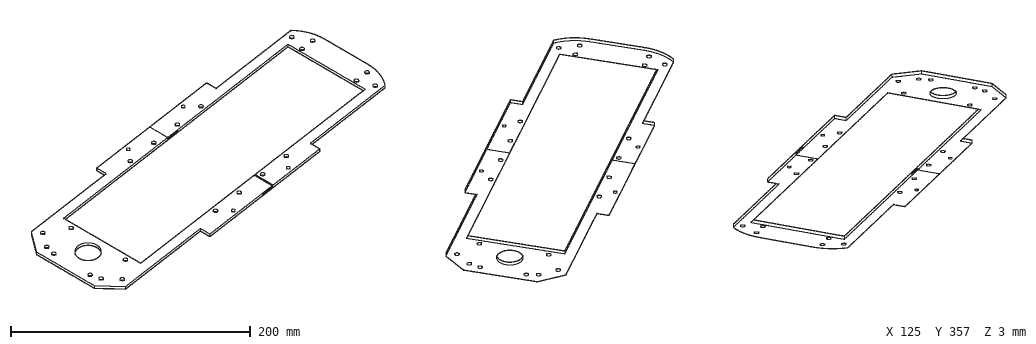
import cadquery as cq
import math

thickness = 3.0
tab_width = 125.0
frame_width = 104.0
tab_half_length = 70.0
upper_end_y = 175.5
lower_end_y = -181.5

upper_edge_half_width = 24.0
corner_drop = 10.2

lower_edge_half_width = 32.0
lower_cut_height = 16.2

opening_width = 85.0
opening_upper_y = 150.5
opening_lower_y = -135.0

lap_upper_y = 10.5
lap_lower_y = -2.5
lap_z = thickness / 2
right_tongue_gap = 0.8

upper_hole_diameter = 3.9
lower_hole_diameter = 3.8
upper_end_holes = [(30.0, 167.5), (30.0, 154.0), (46.0, 159.5)]
lower_end_holes = [(30.0, -140.0), (43.8, -160.0), (30.0, -171.0), (20.0, -173.5)]

tab_hole_diameter = 3.8
tab_hole_x = 47.0
tab_hole_ys = [-45.0, -15.0, 15.0, 45.0]

tab_edge_hole_diameter = 3.2
tab_edge_hole_x = 58.0
tab_edge_hole_y = 35.0

cable_hole_diameter = 22.0
cable_hole_y = -153.0


def corner_arc_middle():
    """Middle point of the right upper corner arc, which leaves the upper edge tangentially."""
    run = frame_width / 2 - upper_edge_half_width
    half_sweep = math.atan2(corner_drop, run)
    radius = run / math.sin(2 * half_sweep)
    middle_x = upper_edge_half_width + radius * math.sin(half_sweep)
    middle_y = upper_end_y - radius * (1 - math.cos(half_sweep))
    return middle_x, middle_y


def frame_blank():
    half_width = frame_width / 2
    half_tab = tab_width / 2
    arc_x, arc_y = corner_arc_middle()
    corner_y = upper_end_y - corner_drop
    cut_y = lower_end_y + lower_cut_height
    return (
        cq.Workplane("XY")
        .moveTo(-upper_edge_half_width, upper_end_y)
        .lineTo(upper_edge_half_width, upper_end_y)
        .threePointArc((arc_x, arc_y), (half_width, corner_y))
        .lineTo(half_width, tab_half_length)
        .lineTo(half_tab, tab_half_length)
        .lineTo(half_tab, -tab_half_length)
        .lineTo(half_width, -tab_half_length)
        .lineTo(half_width, cut_y)
        .lineTo(lower_edge_half_width, lower_end_y)
        .lineTo(-lower_edge_half_width, lower_end_y)
        .lineTo(-half_width, cut_y)
        .lineTo(-half_width, -tab_half_length)
        .lineTo(-half_tab, -tab_half_length)
        .lineTo(-half_tab, tab_half_length)
        .lineTo(-half_width, tab_half_length)
        .lineTo(-half_width, corner_y)
        .threePointArc((-arc_x, arc_y), (-upper_edge_half_width, upper_end_y))
        .close()
        .extrude(thickness)
    )


def both_sides(points):
    """Points repeated on both sides of the centreline."""
    return [(side * x, y) for x, y in points for side in (-1, 1)]


def through_holes(points, diameter):
    return cq.Workplane("XY").pushPoints(points).circle(diameter / 2).extrude(thickness)


def block(x_range, y_range, z_range):
    lows, highs = zip(x_range, y_range, z_range)
    size = [high - low for low, high in zip(lows, highs)]
    return cq.Workplane("XY").box(*size, centered=False).translate(lows)


def drilled_frame():
    opening = block(
        (-opening_width / 2, opening_width / 2),
        (opening_lower_y, opening_upper_y),
        (0, thickness),
    )
    tab_holes = [(tab_hole_x, y) for y in tab_hole_ys]
    tab_edge_holes = [(tab_edge_hole_x, y) for y in (-tab_edge_hole_y, tab_edge_hole_y)]
    return (
        frame_blank()
        .cut(opening)
        .cut(through_holes(both_sides(upper_end_holes), upper_hole_diameter))
        .cut(through_holes(both_sides(lower_end_holes), lower_hole_diameter))
        .cut(through_holes(both_sides(tab_holes), tab_hole_diameter))
        .cut(through_holes(both_sides(tab_edge_holes), tab_edge_hole_diameter))
        .cut(through_holes([(0, cable_hole_y)], cable_hole_diameter))
    )


def lower_frame_region(tongue_gap):
    """Space of the lower frame: on the left its tongue lies underneath, on the right on top."""
    left = (-tab_width / 2, 0)
    right = (0, tab_width / 2)
    under = (0, lap_z)
    over = (lap_z, thickness)
    left_under = block(left, (lower_end_y, lap_upper_y), under)
    left_over = block(left, (lower_end_y, lap_lower_y), over)
    right_under = block(right, (lower_end_y, lap_lower_y), under)
    right_over = block(right, (lower_end_y, lap_upper_y - tongue_gap), over)
    return left_under.union(left_over).union(right_under).union(right_over)


lower_frame = drilled_frame().intersect(lower_frame_region(right_tongue_gap))
upper_frame = drilled_frame().cut(lower_frame_region(0))

result = cq.Compound.makeCompound([lower_frame.val(), upper_frame.val()])